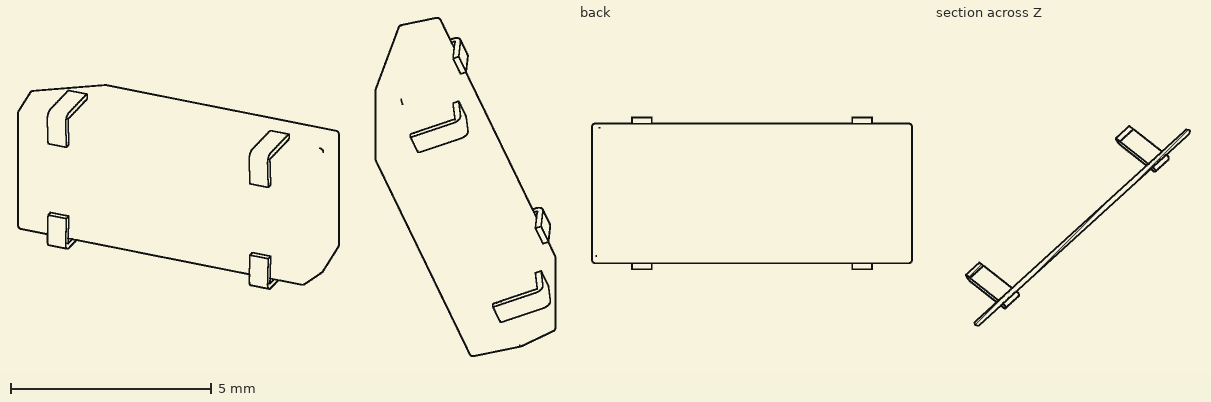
import cadquery as cq
import math

body_length = 8.0
body_height = 3.5
body_front_y = 0.2
body_back_y = 2.5
parting_y = 1.195
draft_angle = 5.0
body_fillet = 0.1
slant_length = 1.5
slant_start_y = 1.25

lead_width = 0.5
lead_thickness = 0.155
lead_outer_z = 1.9
lead_end_y = 1.355
lead_bend_radius = 0.2
lead_end_radius = 0.05
foot_end_z = 1.0
foot_tilt = 4.0
lead_centre_x = 2.75

tolerance = 1e-4


def body_half(face_y):
    """Drafted block from the parting plane to the plane at face_y."""
    depth = abs(face_y - parting_y)
    shrink = depth * math.tan(math.radians(draft_angle))
    return (
        cq.Workplane("XZ", origin=(0, parting_y, 0))
        .rect(body_length, body_height)
        .workplane(offset=parting_y - face_y)
        .rect(body_length - 2 * shrink, body_height - 2 * shrink)
        .loft(ruled=True)
    )


def slant_cutter():
    """Wedge that removes the back corner at the -X end."""
    left_x = -body_length / 2
    return (
        cq.Workplane("XY")
        .moveTo(left_x, slant_start_y)
        .lineTo(left_x + slant_length, body_back_y)
        .lineTo(left_x, body_back_y)
        .close()
        .extrude(body_height, both=True)
    )


def is_on_parting_line(edge):
    box = edge.BoundingBox()
    return abs(box.ymin - parting_y) < tolerance and abs(box.ymax - parting_y) < tolerance


def make_body():
    """Two drafted halves, rounded on every edge except the parting line."""
    block = body_half(body_front_y).union(body_half(body_back_y)).cut(slant_cutter())
    rounded_edges = [edge for edge in block.edges().vals() if not is_on_parting_line(edge)]
    return block.newObject(rounded_edges).fillet(body_fillet)


def make_lead(centre_x):
    """Upper lead: a strip along Y with a foot bent down and tilted slightly towards the body."""
    tilt = math.radians(foot_tilt)
    inner_z = lead_outer_z - lead_thickness
    corner_y = -lead_bend_radius * (math.tan(tilt) + 1 / math.cos(tilt) - 1)
    foot_end_y = corner_y + (lead_outer_z - foot_end_z) * math.tan(tilt)
    inner_corner_y = corner_y + lead_thickness * (math.tan(tilt) + 1)
    strip = (
        cq.Workplane("YZ", origin=(centre_x - lead_width / 2, 0, 0))
        .moveTo(lead_end_y, lead_outer_z)
        .lineTo(corner_y, lead_outer_z)
        .lineTo(foot_end_y, foot_end_z)
        .lineTo(foot_end_y + lead_thickness, foot_end_z)
        .lineTo(inner_corner_y, inner_z)
        .lineTo(lead_end_y, inner_z)
        .close()
        .extrude(lead_width)
    )
    strip = strip.edges("|X and >Z and <Y").fillet(lead_bend_radius)
    return strip.edges("|X and >Y").fillet(lead_end_radius)


result = make_body()
for lead_x in (-lead_centre_x, lead_centre_x):
    upper_lead = make_lead(lead_x)
    result = result.union(upper_lead).union(upper_lead.mirror("XY"))